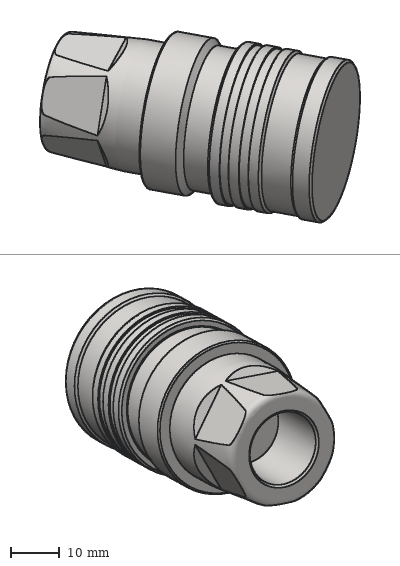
import cadquery as cq

LENGTH = 60.2
RIB_DIAMETER = 34.0
RIB_RADIUS = RIB_DIAMETER / 2

TIP_RADIUS = 12.5
TAPER_END = 17.05
BODY_RADIUS = 13.8
NUT_FILLET = 1.5
FLAT_COUNT = 6
FLAT_DISTANCE = 12.0
FLAT_END = 13.05

COLLAR_START = 22.9
COLLAR_RADIUS = 16.5
COLLAR_FRONT_CHAMFER = 0.35
COLLAR_REAR_START = 30.8
NECK_RADIUS = 15.2
NECK_START = COLLAR_REAR_START + COLLAR_RADIUS - NECK_RADIUS

LIP_START = 37.6
LIP_HEIGHT = 0.2

GRIP_START = 37.75
GRIP_FRONT_CHAMFER = 0.5
GROOVE_DEPTH = 0.35
GROOVE_SPANS = [(40.4, 42.3), (44.55, 46.6)]

VALLEY_START = 49.3
VALLEY_END = 55.6
VALLEY_RADIUS = 16.5

END_CHAMFER = 0.5

BORE_RADIUS = 7.8
BORE_CHAMFER = 0.5
BORE_DEPTH = 15.65


def revolve_about_x(points):
    """Turn a closed (x, radius) outline around the X axis."""
    return cq.Workplane("XY").polyline(points).close().revolve(360, (0, 0, 0), (1, 0, 0))


def make_body():
    outline = [
        (0, 0),
        (0, TIP_RADIUS),
        (TAPER_END, BODY_RADIUS),
        (COLLAR_START, BODY_RADIUS),
        (COLLAR_START, COLLAR_RADIUS - COLLAR_FRONT_CHAMFER),
        (COLLAR_START + COLLAR_FRONT_CHAMFER, COLLAR_RADIUS),
        (COLLAR_REAR_START, COLLAR_RADIUS),
        (NECK_START, NECK_RADIUS),
        (LIP_START, NECK_RADIUS),
        (LIP_START, NECK_RADIUS + LIP_HEIGHT),
        (GRIP_START, NECK_RADIUS + LIP_HEIGHT),
        (GRIP_START, RIB_RADIUS - GRIP_FRONT_CHAMFER),
        (GRIP_START + GRIP_FRONT_CHAMFER, RIB_RADIUS),
    ]
    groove_radius = RIB_RADIUS - GROOVE_DEPTH
    for start, end in GROOVE_SPANS:
        outline += [
            (start, RIB_RADIUS),
            (start, groove_radius),
            (end, groove_radius),
            (end, RIB_RADIUS),
        ]
    valley_chamfer = RIB_RADIUS - VALLEY_RADIUS
    outline += [
        (VALLEY_START - valley_chamfer, RIB_RADIUS),
        (VALLEY_START, VALLEY_RADIUS),
        (VALLEY_END, VALLEY_RADIUS),
        (VALLEY_END + valley_chamfer, RIB_RADIUS),
        (LENGTH - END_CHAMFER, RIB_RADIUS),
        (LENGTH, RIB_RADIUS - END_CHAMFER),
        (LENGTH, 0),
    ]
    return revolve_about_x(outline).faces("<X").edges().fillet(NUT_FILLET)


def make_flat_cutter():
    """Wedge above one wrench flat, closed by its 45 degree run-out."""
    clearance = 0.6
    top = BODY_RADIUS + clearance
    ramp_end = FLAT_END + top - FLAT_DISTANCE
    return (
        cq.Workplane("XZ")
        .polyline([
            (-clearance, FLAT_DISTANCE),
            (FLAT_END, FLAT_DISTANCE),
            (ramp_end, top),
            (-clearance, top),
        ])
        .close()
        .extrude(BODY_RADIUS, both=True)
    )


def make_bore():
    return revolve_about_x([
        (0, 0),
        (0, BORE_RADIUS + BORE_CHAMFER),
        (BORE_CHAMFER, BORE_RADIUS),
        (BORE_DEPTH, BORE_RADIUS),
        (BORE_DEPTH, 0),
    ])


result = make_body()
flat_cutter = make_flat_cutter()
for index in range(FLAT_COUNT):
    angle = index * 360 / FLAT_COUNT
    result = result.cut(flat_cutter.rotate((0, 0, 0), (1, 0, 0), angle))
result = result.cut(make_bore())